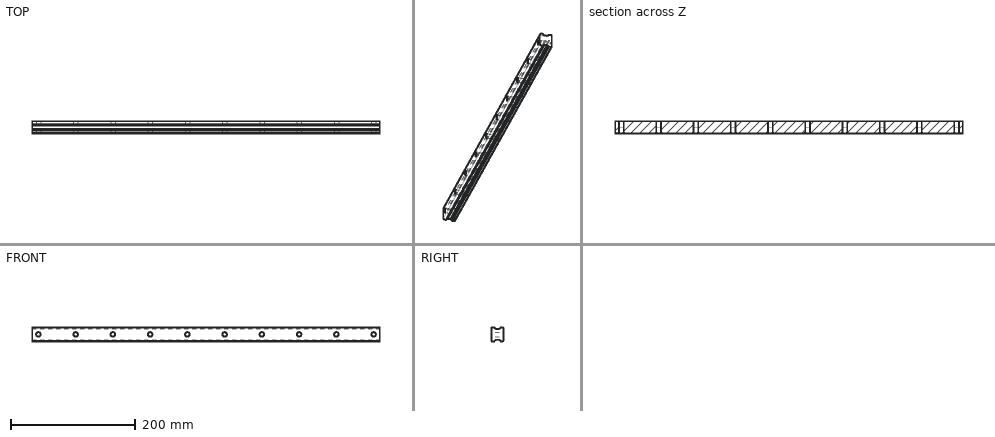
import cadquery as cq
import math

length = 560.0
height = 20.0
width = 23.0

head_round = 3.0
base_chamfer = 1.1

groove_lip = 5.2
relief_depth = 2.66
relief_head_edge = 2.5
relief_base_edge = -1.9
track_radius = 1.9
ledge_edge = -4.2
ledge_depth = 1.35

hole_diameter = 7.0
hole_pitch = 60.0
hole_count = 10


def side_groove():
    """Cutter for the groove in the +Z side face."""
    side_z = width / 2
    floor_z = side_z - relief_depth
    track_y = groove_lip - track_radius
    diagonal = track_radius * math.sqrt(0.5)
    return (
        cq.Workplane("YZ")
        .moveTo(-groove_lip, side_z)
        .lineTo(ledge_edge, side_z - ledge_depth)
        .lineTo(relief_base_edge, floor_z)
        .lineTo(relief_head_edge, floor_z)
        .lineTo(track_y, side_z - track_radius)
        .threePointArc((track_y + diagonal, side_z - diagonal), (groove_lip, side_z))
        .close()
        .extrude(length / 2, both=True)
    )


def rail_body():
    body = cq.Workplane("XY").box(length, height, width)
    body = body.edges("|X and >Y").fillet(head_round)
    body = body.edges("|X and <Y").chamfer(base_chamfer)
    groove = side_groove()
    return body.cut(groove).cut(groove.mirror("XY"))


def mounting_holes():
    return (
        cq.Workplane("XZ")
        .rarray(hole_pitch, 1, hole_count, 1)
        .circle(hole_diameter / 2)
        .extrude(height / 2, both=True)
    )


result = rail_body().cut(mounting_holes())